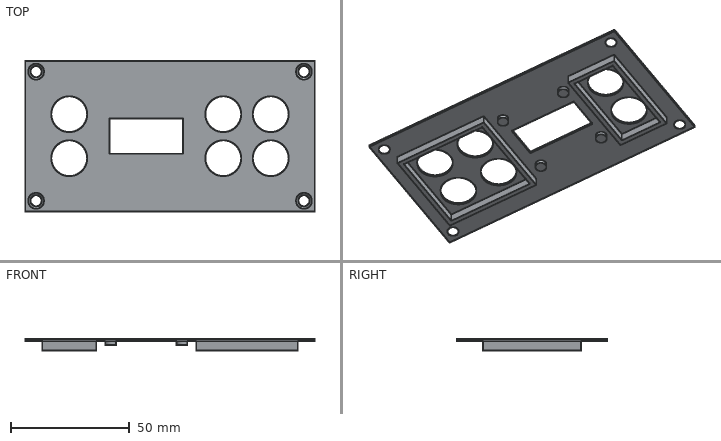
import cadquery as cq

plate_length = 122.0
plate_width = 63.6
plate_thickness = 1.0
total_height = 5.0

mount_spacing_x = 112.8
mount_spacing_y = 54.4
mount_diameter = 4.6
countersink_diameter = 6.7

button_diameter = 15.0
button_pitch_x = 20.0
button_pitch_y = 18.5

frame_width = 41.5
frame_height = total_height - plate_thickness
frame_wall = 2.0
frame_side_margin = 22.9 / 2
left_frame_x = -42.5
right_frame_x = 32.5

window_x = -10.0
window_length = 30.9
window_width = 14.8
pin_spacing = 30.0
pin_diameter = 4.6
pin_height = 1.7


def button_frame(center_x, columns):
    """Open-bottomed rectangular wall around a group of button columns."""
    length = (columns - 1) * button_pitch_x + 2 * frame_side_margin
    return (
        cq.Workplane("XY", origin=(center_x, 0, -total_height))
        .rect(length, frame_width)
        .rect(length - 2 * frame_wall, frame_width - 2 * frame_wall)
        .extrude(frame_height)
    )


def button_holes(center_x, columns):
    """Cutters for the button columns of one group."""
    return (
        cq.Workplane("XY", origin=(center_x, 0, -plate_thickness))
        .rarray(button_pitch_x, button_pitch_y, columns, 2)
        .circle(button_diameter / 2)
        .extrude(plate_thickness)
    )


def mounting_holes():
    """Conical cutters, wide at the top face of the plate."""
    cone = cq.Solid.makeCone(mount_diameter / 2, countersink_diameter / 2, plate_thickness)
    return (
        cq.Workplane("XY", origin=(0, 0, -plate_thickness))
        .rect(mount_spacing_x, mount_spacing_y, forConstruction=True)
        .vertices()
        .eachpoint(lambda location: cone.located(location))
    )


def display_pins():
    """Four round pins hanging from the underside of the plate."""
    return (
        cq.Workplane("XY", origin=(window_x, 0, -plate_thickness - pin_height))
        .rect(pin_spacing, pin_spacing, forConstruction=True)
        .vertices()
        .circle(pin_diameter / 2)
        .extrude(pin_height)
    )


plate = cq.Workplane("XY").box(plate_length, plate_width, plate_thickness, centered=(True, True, False))
plate = plate.translate((0, 0, -plate_thickness))

window = cq.Workplane("XY").box(window_length, window_width, 2 * plate_thickness)
window = window.translate((window_x, 0, -plate_thickness / 2))

result = plate.cut(window).cut(mounting_holes()).union(display_pins())
for group_x, group_columns in ((left_frame_x, 1), (right_frame_x, 2)):
    result = result.cut(button_holes(group_x, group_columns))
    result = result.union(button_frame(group_x, group_columns))